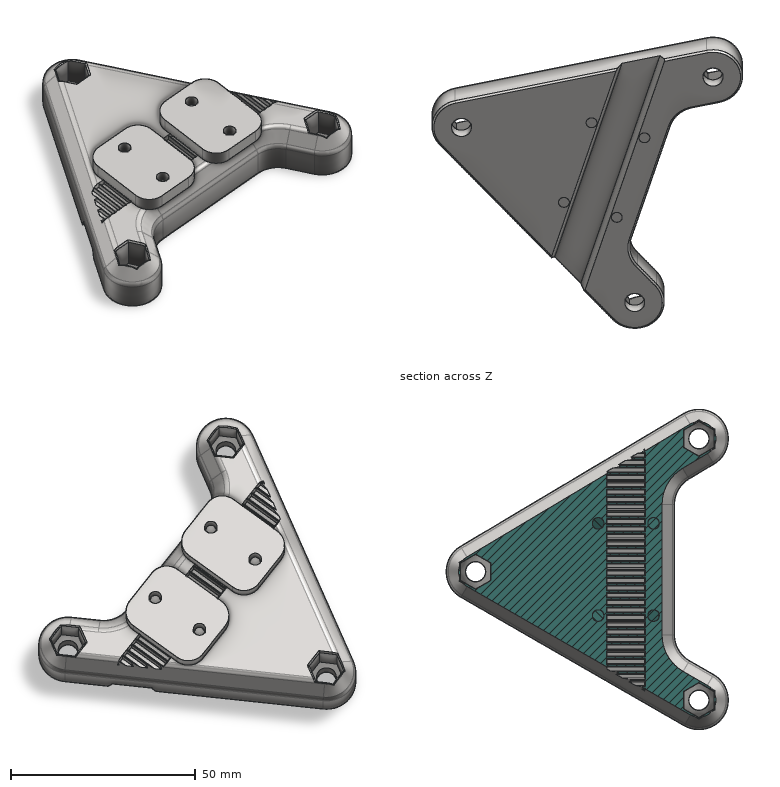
import cadquery as cq
import math

BASE_HEIGHT = 12.9
BOSS_RADIUS = 8.0
ARM_X = 60.6
ARM_Y = 35.5
LEFT_BOSS_Y = -0.6
BACK_X = 54.0
INNER_CORNER_RADIUS = 8.0
TOP_CHAMFER = 4.0
TOP_ROUNDING = 2.0
BOTTOM_CHAMFER = 0.5
SELECTION_MARGIN = 0.1

NUT_ACROSS_FLATS = 8.2
NUT_FLOOR_Z = 4.0
NUT_RIM_BEVEL = 0.4
RIM_LOWEST_Z = 10.4
BOLT_HOLE_DIAMETER = 5.4

CLAMP_X = 40.8
PLATE_LENGTH_X = 25.0
PLATE_WIDTH_Y = 20.0
PLATE_THICKNESS = 4.0
PLATE_CORNER_RADIUS = 5.05
PLATE_GAP = 5.05
PLATE_OFFSET_Y = (PLATE_WIDTH_Y + PLATE_GAP) / 2

PIN_DIAMETER = 3.0
PIN_CLEARANCE_DIAMETER = 3.4
PIN_SPACING_X = 15.05
PIN_HEIGHT = 14.0

GROOVE_TOP_WIDTH = 11.0
GROOVE_FLOOR_WIDTH = 10.2
GROOVE_DEPTH = 1.1
TOOTH_PITCH = 2.0
TOOTH_ROOT_WIDTH = 1.0
TOOTH_CREST_WIDTH = 0.2
TOOTH_HEIGHT = 0.8

CHANNEL_MOUTH_WIDTH = 11.7
CHANNEL_ROOF_WIDTH = 9.1
CHANNEL_DEPTH = 3.05

BASE_WIDTH_Y = 2 * (ARM_Y + BOSS_RADIUS)
BOSS_POINTS = [(0, LEFT_BOSS_Y), (ARM_X, ARM_Y), (ARM_X, -ARM_Y)]
PLATE_POINTS = [(CLAMP_X, -PLATE_OFFSET_Y), (CLAMP_X, PLATE_OFFSET_Y)]
PIN_POINTS = [
    (x + side * PIN_SPACING_X / 2, y) for x, y in PLATE_POINTS for side in (-1, 1)
]


def polar(center, radius, angle):
    """Point at the given radius and angle (radians) from a center."""
    return (center[0] + radius * math.cos(angle), center[1] + radius * math.sin(angle))


def arm_side(side):
    """Outline points of one arm: +1 for the arm toward +Y, -1 for the other."""
    left, arm = BOSS_POINTS[0], (ARM_X, side * ARM_Y)
    heading = math.atan2(arm[1] - left[1], arm[0] - left[0])
    outward = heading + side * math.pi / 2
    inward = heading - side * math.pi / 2
    toward_left = side * math.pi

    corner_x = BACK_X + INNER_CORNER_RADIUS
    arm_drop = (BOSS_RADIUS + INNER_CORNER_RADIUS) / math.cos(heading)
    corner = (corner_x, left[1] + corner_x * math.tan(heading) - side * arm_drop)
    return {
        "left_tangent": polar(left, BOSS_RADIUS, outward),
        "outer": polar(arm, BOSS_RADIUS, outward),
        "tip": polar(arm, BOSS_RADIUS, heading),
        "inner": polar(arm, BOSS_RADIUS, inward),
        "corner_start": polar(corner, INNER_CORNER_RADIUS, outward),
        "corner_middle": polar(corner, INNER_CORNER_RADIUS, (outward + toward_left) / 2),
        "corner_end": polar(corner, INNER_CORNER_RADIUS, toward_left),
    }


def base_outline():
    """Closed outline: out along the +Y arm, down the back wall and home along the -Y arm."""
    upper, lower = arm_side(1), arm_side(-1)
    left_tip = (-BOSS_RADIUS, LEFT_BOSS_Y)
    return (
        cq.Workplane("XY")
        .moveTo(*upper["left_tangent"])
        .lineTo(*upper["outer"])
        .threePointArc(upper["tip"], upper["inner"])
        .lineTo(*upper["corner_start"])
        .threePointArc(upper["corner_middle"], upper["corner_end"])
        .lineTo(*lower["corner_end"])
        .threePointArc(lower["corner_middle"], lower["corner_start"])
        .lineTo(*lower["inner"])
        .threePointArc(lower["tip"], lower["outer"])
        .lineTo(*lower["left_tangent"])
        .threePointArc(left_tip, upper["left_tangent"])
        .close()
    )


def base_blank():
    """Extruded base with its chamfered, rounded top edge and chamfered bottom edge."""
    blank = base_outline().extrude(BASE_HEIGHT).faces(">Z").edges().chamfer(TOP_CHAMFER)
    shoulder_z = BASE_HEIGHT - TOP_CHAMFER
    shoulder_zone = cq.selectors.BoxSelector(
        (-BASE_WIDTH_Y, -BASE_WIDTH_Y, shoulder_z - SELECTION_MARGIN),
        (BASE_WIDTH_Y, BASE_WIDTH_Y, shoulder_z + SELECTION_MARGIN),
    )
    chamfer_edges = blank.edges(shoulder_zone).add(blank.faces(">Z").edges())
    blank = chamfer_edges.fillet(TOP_ROUNDING)
    return blank.faces("<Z").edges().chamfer(BOTTOM_CHAMFER)


def nut_pocket(boss):
    """Hexagonal pocket over one boss, with two of its corners on the Y direction."""
    corner_radius = NUT_ACROSS_FLATS / math.sqrt(3)
    corners = [polar(boss, corner_radius, math.radians(30 + 60 * i)) for i in range(6)]
    return (
        cq.Workplane("XY", origin=(0, 0, NUT_FLOOR_Z))
        .polyline(corners)
        .close()
        .extrude(BASE_HEIGHT - NUT_FLOOR_Z)
    )


def cut_nut_pockets(base):
    """Cut the nut pockets and bevel their rims, which run partly over the sloping top edge."""
    for boss in BOSS_POINTS:
        base = base.cut(nut_pocket(boss))
        rim_zone = cq.selectors.BoxSelector(
            (boss[0] - BOSS_RADIUS, boss[1] - BOSS_RADIUS, RIM_LOWEST_Z),
            (boss[0] + BOSS_RADIUS, boss[1] + BOSS_RADIUS, BASE_HEIGHT + NUT_RIM_BEVEL),
        )
        pocket_walls = [
            face for face in base.faces("#Z").vals()
            if math.dist((face.Center().x, face.Center().y), boss) < NUT_ACROSS_FLATS / math.sqrt(3)
        ]
        rim = base.newObject(pocket_walls).edges(rim_zone)
        base = rim.chamfer(NUT_RIM_BEVEL)
    return base


def trapezoid_bar(start_z, start_width, end_z, end_width):
    """Bar along Y, across the whole base on the belt line, tapering from one height to another."""
    return (
        cq.Workplane("XZ", origin=(CLAMP_X, BASE_WIDTH_Y / 2, 0))
        .polyline([
            (-start_width / 2, start_z),
            (start_width / 2, start_z),
            (end_width / 2, end_z),
            (-end_width / 2, end_z),
        ])
        .close()
        .extrude(BASE_WIDTH_Y)
    )


def belt_groove():
    """Tapered belt groove with a row of teeth standing on its floor."""
    floor_z = BASE_HEIGHT - GROOVE_DEPTH
    groove = trapezoid_bar(floor_z, GROOVE_FLOOR_WIDTH, BASE_HEIGHT, GROOVE_TOP_WIDTH)
    tooth = (
        cq.Workplane("YZ", origin=(CLAMP_X - GROOVE_TOP_WIDTH / 2, 0, floor_z))
        .polyline([
            (-TOOTH_ROOT_WIDTH / 2, 0),
            (TOOTH_ROOT_WIDTH / 2, 0),
            (TOOTH_CREST_WIDTH / 2, TOOTH_HEIGHT),
            (-TOOTH_CREST_WIDTH / 2, TOOTH_HEIGHT),
        ])
        .close()
        .extrude(GROOVE_TOP_WIDTH)
    )
    teeth_per_side = math.floor(BASE_WIDTH_Y / 2 / TOOTH_PITCH)
    for index in range(-teeth_per_side, teeth_per_side + 1):
        groove = groove.cut(tooth.translate((0, index * TOOTH_PITCH, 0)))
    return groove


def make_base():
    """Clamp base with all its pockets, holes, belt groove and channel."""
    base = cut_nut_pockets(base_blank())
    bolt_holes = cq.Workplane("XY").pushPoints(BOSS_POINTS).circle(BOLT_HOLE_DIAMETER / 2)
    pin_holes = cq.Workplane("XY").pushPoints(PIN_POINTS).circle(PIN_DIAMETER / 2)
    channel = trapezoid_bar(0, CHANNEL_MOUTH_WIDTH, CHANNEL_DEPTH, CHANNEL_ROOF_WIDTH)
    return (
        base.cut(bolt_holes.extrude(BASE_HEIGHT))
        .cut(pin_holes.extrude(BASE_HEIGHT))
        .cut(channel)
        .cut(belt_groove())
        .solids()
    )


def make_clamp_plate(center):
    """Rounded plate resting on the base, with two clearance holes for its pins."""
    return (
        cq.Workplane("XY", origin=(center[0], center[1], BASE_HEIGHT))
        .rect(PLATE_LENGTH_X, PLATE_WIDTH_Y)
        .extrude(PLATE_THICKNESS)
        .edges("|Z")
        .fillet(PLATE_CORNER_RADIUS)
        .faces(">Z")
        .workplane()
        .rarray(PIN_SPACING_X, 0.9, 2, 1)
        .hole(PIN_CLEARANCE_DIAMETER)
    )


def make_pin(point):
    """Straight pin standing in the base and ending partway up its plate hole."""
    return cq.Workplane("XY", origin=(point[0], point[1], 0)).circle(PIN_DIAMETER / 2).extrude(PIN_HEIGHT)


base = make_base()
clamp_plates = [make_clamp_plate(center) for center in PLATE_POINTS]
pins = [make_pin(point) for point in PIN_POINTS]

result = cq.Compound.makeCompound([
    base.val(),
    *[plate.val() for plate in clamp_plates],
    *[pin.val() for pin in pins],
])